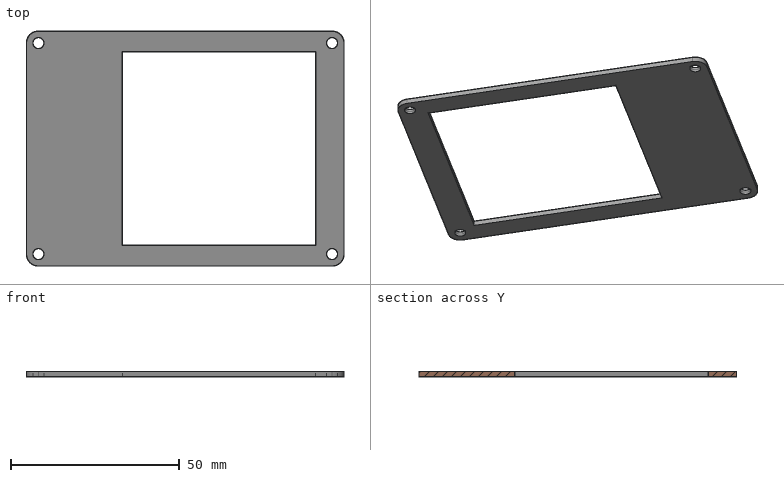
import cadquery as cq

length = 94.1
width = 69.7
thickness = 1.6
corner_radius = 3.6

hole_diameter = 3.2
hole_inset = corner_radius

window_side = 57.2
window_right_margin = 8.5
window_center_x = length / 2 - window_right_margin - window_side / 2

plate = (
    cq.Workplane("XY")
    .box(length, width, thickness)
    .edges("|Z")
    .fillet(corner_radius)
)

corner_holes = (
    cq.Workplane("XY")
    .rect(length - 2 * hole_inset, width - 2 * hole_inset, forConstruction=True)
    .vertices()
    .circle(hole_diameter / 2)
    .extrude(thickness, both=True)
)

window = (
    cq.Workplane("XY")
    .center(window_center_x, 0)
    .rect(window_side, window_side)
    .extrude(thickness, both=True)
)

result = plate.cut(corner_holes).cut(window)